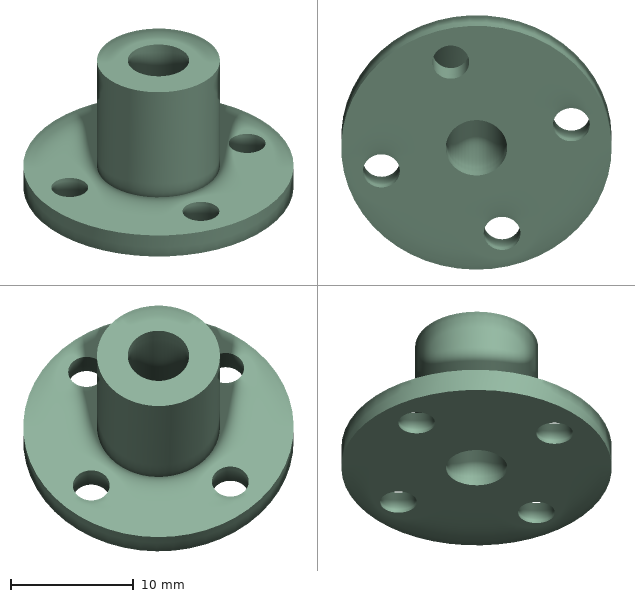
import cadquery as cq

flange_diameter = 22
flange_thickness = 2.0

hub_diameter = 10.0
total_height = 12.0
bore_diameter = 5.0

mount_hole_diameter = 3.0
mount_hole_count = 4
mount_circle_radius = (flange_diameter + hub_diameter) / 4

flange = cq.Workplane("XY").circle(flange_diameter / 2).extrude(flange_thickness)
hub = cq.Workplane("XY").circle(hub_diameter / 2).extrude(total_height)
bore = cq.Workplane("XY").circle(bore_diameter / 2).extrude(total_height)
mount_holes = (
    cq.Workplane("XY")
    .polarArray(mount_circle_radius, 0, 360, mount_hole_count)
    .circle(mount_hole_diameter / 2)
    .extrude(flange_thickness)
)

result = flange.union(hub).cut(bore).cut(mount_holes)